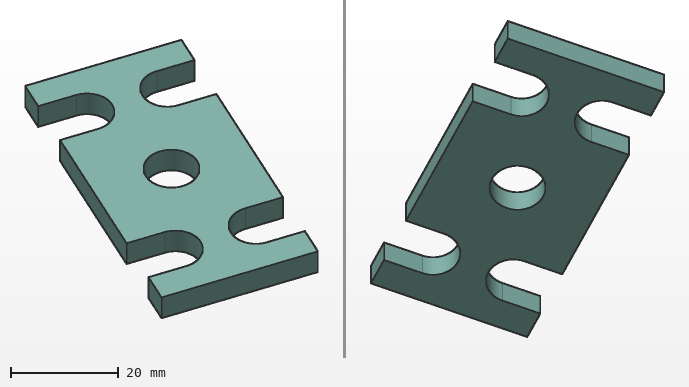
import cadquery as cq

length = 63.5
width = 31.75
thickness = 5.3

hole_diameter = 10.4

slot_width = 10.15
slot_offset = 20.6
web_width = 6.15

slot_radius = slot_width / 2
slot_end_center = web_width / 2 + slot_radius


def edge_slot(x, side):
    """Slot cutter at x, open toward +Y (side = 1) or -Y (side = -1)."""
    arc_y = side * slot_end_center
    return (
        cq.Workplane("XY")
        .moveTo(x - slot_radius, side * width / 2)
        .lineTo(x - slot_radius, arc_y)
        .threePointArc((x, side * web_width / 2), (x + slot_radius, arc_y))
        .lineTo(x + slot_radius, side * width / 2)
        .close()
        .extrude(thickness)
    )


plate = cq.Workplane("XY").box(length, width, thickness, centered=(True, True, False))
plate = plate.faces(">Z").workplane().hole(hole_diameter)

for slot_x in (-slot_offset, slot_offset):
    for slot_side in (-1, 1):
        plate = plate.cut(edge_slot(slot_x, slot_side))

result = plate